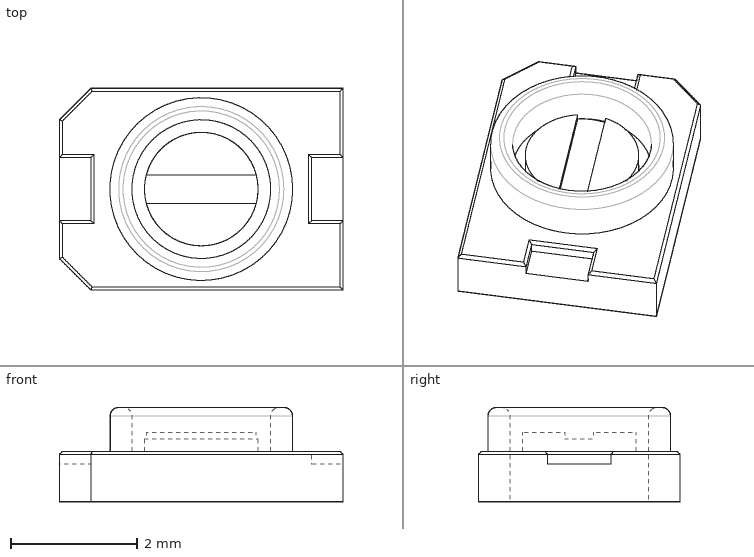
import cadquery as cq

LENGTH = 4.5
WIDTH = 3.2
BASE_HEIGHT = 0.8
CORNER_CUT = 0.5
EDGE_CHAMFER = 0.05

NOTCH_LENGTH = 0.5
NOTCH_WIDTH = 1.0
NOTCH_DEPTH = 0.2

TOTAL_HEIGHT = 1.5
RING_OUTER_DIAMETER = 2.9
RING_INNER_DIAMETER = 2.2
RING_ROUNDING = 0.14

ROTOR_DIAMETER = 1.8
ROTOR_TOP = 1.1
SLOT_WIDTH = 0.45
SLOT_DEPTH = 0.1


def make_base():
    """Plate with two cut corners, end notches and chamfered top edges."""
    base = cq.Workplane("XY").box(LENGTH, WIDTH, BASE_HEIGHT, centered=(True, True, False))
    base = base.edges("|Z and <X").chamfer(CORNER_CUT)
    notch_centre = (LENGTH - NOTCH_LENGTH) / 2
    notches = (
        cq.Workplane("XY", origin=(0, 0, BASE_HEIGHT - NOTCH_DEPTH))
        .pushPoints([(-notch_centre, 0), (notch_centre, 0)])
        .rect(NOTCH_LENGTH, NOTCH_WIDTH)
        .extrude(NOTCH_DEPTH)
    )
    return base.cut(notches).faces(">Z").edges().chamfer(EDGE_CHAMFER)


def make_ring():
    """Cylindrical wall with its inner and outer top edges rounded."""
    ring = (
        cq.Workplane("XY")
        .circle(RING_OUTER_DIAMETER / 2)
        .circle(RING_INNER_DIAMETER / 2)
        .extrude(TOTAL_HEIGHT)
    )
    return ring.faces(">Z").edges().fillet(RING_ROUNDING)


def make_rotor():
    """Raised disc standing on the base, split by a screwdriver slot along X."""
    disc = cq.Workplane("XY").circle(ROTOR_DIAMETER / 2).extrude(ROTOR_TOP)
    slot = (
        cq.Workplane("XY", origin=(0, 0, ROTOR_TOP - SLOT_DEPTH))
        .rect(ROTOR_DIAMETER, SLOT_WIDTH)
        .extrude(SLOT_DEPTH)
    )
    return disc.cut(slot)


result = make_base().union(make_ring()).union(make_rotor())